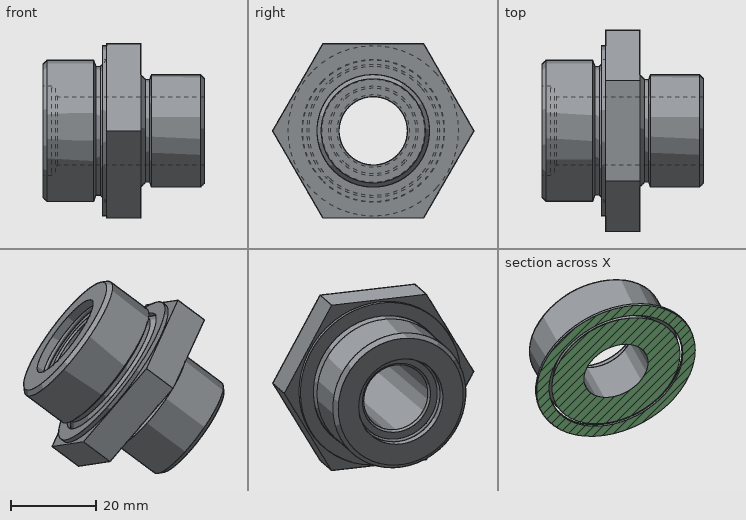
import cadquery as cq

length = 38.0
groove_chamfer_start = 11.95
large_groove_start = 12.5
large_groove_end = 13.5
collar_start = 14.0
hex_start = 15.0
hex_end = 23.0
small_groove_start = 24.15
small_groove_end = 25.1
small_spigot_start = 25.5

hex_across_corners = 47.35
collar_radius = 40.0 / 2
collar_recess_radius = 33.5 / 2
large_spigot_radius = 33.25 / 2
large_groove_radius = 30.3 / 2
small_spigot_radius = 26.45 / 2
small_groove_radius = 24.15 / 2
end_chamfer = 1.0

bore_radius = 16.0 / 2
bore_mouth_radius = 17.0 / 2
counterbore_radius = 21.0 / 2
bead_depth = 2.0
bead_radius = 0.45
counterbore_depth = 3.0


def revolve_profile(profile):
    """Turn a closed (axial, radial) profile about the X axis."""
    return profile.close().revolve(360, (0, 0, 0), (1, 0, 0))


def make_large_spigot():
    cone_foot_radius = large_groove_radius + hex_start - large_groove_end
    return revolve_profile(
        cq.Workplane("XY").polyline([
            (0, 0),
            (0, large_spigot_radius - end_chamfer),
            (end_chamfer, large_spigot_radius),
            (groove_chamfer_start, large_spigot_radius),
            (large_groove_start, large_groove_radius),
            (large_groove_end, large_groove_radius),
            (hex_start, cone_foot_radius),
            (hex_start, 0),
        ])
    )


def make_collar():
    return (
        cq.Workplane("YZ", origin=(collar_start, 0, 0))
        .circle(collar_radius)
        .circle(collar_recess_radius)
        .extrude(hex_start - collar_start)
    )


def make_hexagon():
    return (
        cq.Workplane("YZ", origin=(hex_start, 0, 0))
        .polygon(6, hex_across_corners)
        .extrude(hex_end - hex_start)
    )


def make_small_spigot():
    cone_foot_radius = small_groove_radius + small_groove_start - hex_end
    return revolve_profile(
        cq.Workplane("XY").polyline([
            (hex_end, 0),
            (hex_end, cone_foot_radius),
            (small_groove_start, small_groove_radius),
            (small_groove_end, small_groove_radius),
            (small_spigot_start, small_spigot_radius),
            (length - end_chamfer, small_spigot_radius),
            (length, small_spigot_radius - end_chamfer),
            (length, 0),
        ])
    )


def make_bore():
    mouth_chamfer = bore_mouth_radius - bore_radius
    return revolve_profile(
        cq.Workplane("XY")
        .moveTo(0, 0)
        .lineTo(0, counterbore_radius)
        .lineTo(bead_depth, counterbore_radius)
        .threePointArc(
            (bead_depth + bead_radius, counterbore_radius - bead_radius),
            (bead_depth + 2 * bead_radius, counterbore_radius),
        )
        .lineTo(counterbore_depth, counterbore_radius)
        .lineTo(counterbore_depth, bore_mouth_radius)
        .lineTo(counterbore_depth + mouth_chamfer, bore_radius)
        .lineTo(length, bore_radius)
        .lineTo(length, 0)
    )


result = (
    make_hexagon()
    .union(make_large_spigot())
    .union(make_collar())
    .union(make_small_spigot())
    .cut(make_bore())
)